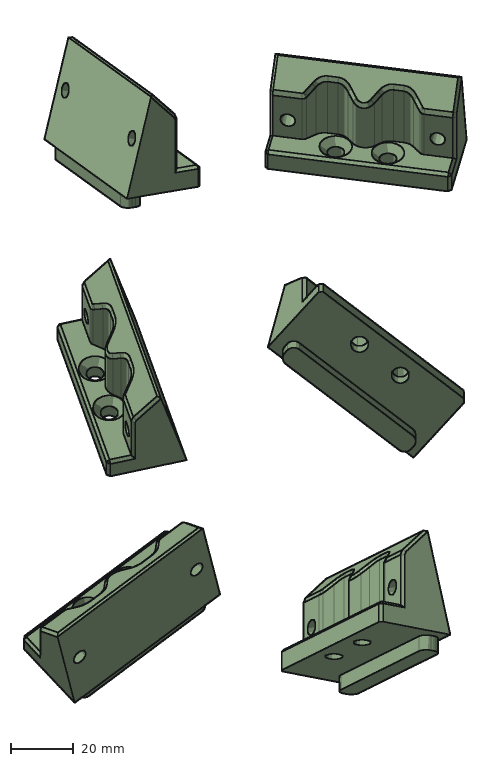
import cadquery as cq
import math

length = 60.6
depth = 26.3
flange_height = 7.15
wall_y = 18.1
edge_chamfer = 1.05

ridge_y = 8.8
ridge_z = 34.35

relief_y = 13.5
relief_outer_x = 19.05
crest_apex_y = 20.5
relief_radius = 5.0
shoulder_radius = 2.0

screw_x = 8.5
screw_y = 19.6
screw_diameter = 5.5
head_diameter = 10.4
countersink_angle = 90.0

cross_hole_x = 24.35
cross_hole_z = 17.9
cross_hole_diameter = 4.8

tongue_length = 52.6
tongue_width = 6.7
tongue_front_y = 0.9
tongue_height = 5.0
tongue_corner_diameter = 5.5

half_length = length / 2
tolerance = 0.005


def make_flange():
    return cq.Workplane("XY").box(length, depth, flange_height, centered=(True, False, False))


def make_wall():
    """Wedge bounded at the rear by the 45 degree relief outline."""
    relief_outer_corner = relief_outer_x - (wall_y - relief_y)
    relief_inner_corner = crest_apex_y - relief_y
    right_side = [
        (relief_inner_corner, relief_y),
        (relief_outer_corner, relief_y),
        (relief_outer_x, wall_y),
        (half_length, wall_y),
    ]
    left_side = [(-x, y) for x, y in reversed(right_side)]
    outline = left_side + [(0, crest_apex_y)] + right_side + [(half_length, 0), (-half_length, 0)]
    plan = cq.Workplane("XY").polyline(outline).close().extrude(ridge_z)

    def edge_at(x, y):
        return cq.selectors.BoxSelector(
            (x - tolerance, y - tolerance, 0), (x + tolerance, y + tolerance, ridge_z)
        )

    for side in (-1, 1):
        plan = plan.edges(edge_at(side * relief_inner_corner, relief_y)).fillet(relief_radius)
        plan = plan.edges(edge_at(side * relief_outer_corner, relief_y)).fillet(relief_radius)
        plan = plan.edges(edge_at(side * relief_outer_x, wall_y)).fillet(shoulder_radius)
    plan = plan.edges(edge_at(0, crest_apex_y)).fillet(relief_radius)

    slope_end_z = ridge_z + ridge_y - depth
    profile = [(0, 0), (ridge_y, ridge_z), (depth, slope_end_z), (depth, 0)]
    wedge = cq.Workplane("YZ").polyline(profile).close().extrude(half_length, both=True)
    return plan.intersect(wedge)


def trim_leaning_face(body):
    outside = [(0, 0), (ridge_y, ridge_z), (-ridge_y, ridge_z), (-ridge_y, 0)]
    return body.cut(cq.Workplane("YZ").polyline(outside).close().extrude(half_length, both=True))


def chamfer_body(body):
    """Chamfer the slope's border, the rear of the flange and the upper and rear side edges."""

    def on_leaning_face(point):
        return abs(point.y * ridge_z - point.z * ridge_y) < tolerance * ridge_z

    def needs_chamfer(edge):
        center = edge.Center()
        on_side = abs(abs(center.x) - half_length) < tolerance
        on_slope = all(
            abs(v.Y + v.Z - ridge_y - ridge_z) < tolerance for v in edge.Vertices()
        )
        on_flange_rear = abs(center.y - depth) < tolerance
        on_bottom = center.z < tolerance
        plain_side = on_side and not on_leaning_face(center)
        return not on_bottom and (on_slope or on_flange_rear or plain_side)

    return body.edges().filter(needs_chamfer).chamfer(edge_chamfer)


def make_screw_cutter():
    """Through hole with a countersink opening at the flange top."""
    screw_radius = screw_diameter / 2
    head_radius = head_diameter / 2
    sink_depth = (head_radius - screw_radius) / math.tan(math.radians(countersink_angle / 2))
    profile = [
        (0, 0),
        (screw_radius, 0),
        (screw_radius, flange_height - sink_depth),
        (head_radius, flange_height),
        (0, flange_height),
    ]
    return cq.Workplane("XZ").polyline(profile).close().revolve(360, (0, 0), (0, 1))


def make_cross_hole(x):
    start = cq.Vector(x, cross_hole_z * ridge_y / ridge_z, cross_hole_z)
    inward = cq.Vector(0, ridge_z, -ridge_y)
    return cq.Workplane(cq.Solid.makeCylinder(cross_hole_diameter / 2, depth, start, inward))


def make_tongue():
    return (
        cq.Workplane("XY")
        .center(0, tongue_front_y + tongue_width / 2)
        .rect(tongue_length, tongue_width)
        .extrude(-tongue_height)
        .edges("|Z")
        .fillet(tongue_corner_diameter / 2)
    )


result = chamfer_body(trim_leaning_face(make_flange().union(make_wall())))
for side in (-1, 1):
    result = result.cut(make_screw_cutter().translate((side * screw_x, screw_y, 0)))
    result = result.cut(make_cross_hole(side * cross_hole_x))
result = result.union(make_tongue())